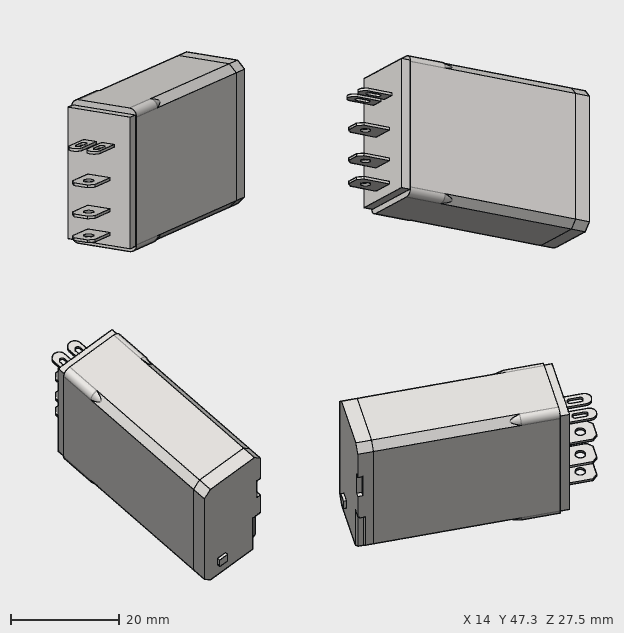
import cadquery as cq
import math

overall_length = 47.35
width = 14.0
height = 27.5
corner = 1.5

housing_length = 35.5
rib_length = 7.45
rib_taper_length = 1.95

cap_length = 3.0
cap_end = housing_length + cap_length
notch_depth = 1.4
notch_top = -4.75
notch_width = corner
notch_chamfer = 0.43
slot_depth = 1.0
slot_width = 0.9
slot_height = 5.0
slot_z = 3.55

button_side = 2.0
button_height = 0.55
button_x = 2.7
button_z = -9.75

base_width = 13.45
base_height = 25.2
base_thickness = 1.8

terminal_thickness = 0.5
blade_length = overall_length - cap_end - button_height - base_thickness
blade_width = 4.85
blade_tip_chamfer = 1.0
blade_hole_diameter = 1.9
blade_hole_from_tip = 2.8
blade_heights = (0.15, -5.82, -10.35)
coil_tab_setback = 0.2
coil_tab_length = blade_length - coil_tab_setback
coil_tab_width = 2.7
coil_tab_spacing = 3.9
coil_tab_z = 6.65
tab_hole_length = 3.05
tab_hole_width = 1.15
tab_hole_from_tip = 3.13


def block(size_x, size_z, start_y, end_y):
    """Box centred on the Y axis, reaching from start_y to end_y."""
    box = cq.Workplane("XY").box(size_x, end_y - start_y, size_z, centered=(True, False, True))
    return box.translate((0, start_y, 0))


def make_housing():
    rounded_end = block(width, height, 0, rib_length).edges("|Y").fillet(corner)
    bevelled = block(width, height, rib_length, housing_length).edges("|Y").chamfer(corner)
    body = rounded_end.union(bevelled)
    for side_x in (-1, 1):
        for side_z in (-1, 1):
            start = cq.Vector(side_x * (width / 2 - corner), rib_length, side_z * (height / 2 - corner))
            cone = cq.Solid.makeCone(
                corner, corner * math.sqrt(0.5), rib_taper_length, start, cq.Vector(0, 1, 0)
            )
            body = body.union(cq.Workplane(cone))
    return body


def make_notch():
    """Corner cutout at -X, -Z in the cap's end face, flaring at 45 degrees at its mouth."""
    bevel_start = cap_end - notch_chamfer
    size_x = 2 * notch_width
    size_z = 2 * (notch_top + height / 2)
    straight = cq.Workplane("XY").box(size_x, notch_depth, size_z, centered=(True, False, True))
    straight = straight.translate((0, cap_end - notch_depth, 0))
    flare = (
        cq.Workplane("XZ", origin=(0, bevel_start, 0))
        .rect(size_x, size_z)
        .workplane(offset=-notch_chamfer)
        .rect(size_x + 2 * notch_chamfer, size_z + 2 * notch_chamfer)
        .loft(ruled=True)
    )
    return straight.union(flare).translate((-width / 2, 0, -height / 2))


def make_cap():
    cap = block(width, height, housing_length, cap_end).edges("|Y").chamfer(corner)
    slot = block(2 * slot_width, slot_height, cap_end - slot_depth, cap_end)
    return cap.cut(slot.translate((-width / 2, 0, slot_z))).cut(make_notch())


def make_button():
    button = block(button_side, button_side, cap_end, cap_end + button_height)
    return button.translate((button_x, 0, button_z))


def make_base():
    return block(base_width, base_height, -base_thickness, 0)


def make_blade(z):
    """Flat terminal with a bevelled tip and a round hole."""
    tip = -base_thickness - blade_length
    blade = block(blade_width, terminal_thickness, tip, -base_thickness)
    blade = blade.edges("|Z and <Y").chamfer(blade_tip_chamfer)
    hole = (
        cq.Workplane("XY")
        .center(0, tip + blade_hole_from_tip)
        .circle(blade_hole_diameter / 2)
        .extrude(terminal_thickness, both=True)
    )
    return blade.cut(hole).translate((0, 0, z))


def make_coil_tab(x):
    """Narrow terminal with a fully rounded tip and an oblong hole."""
    tip = -base_thickness - coil_tab_length
    tip_radius = coil_tab_width / 2
    tab = (
        cq.Workplane("XY")
        .moveTo(-tip_radius, -base_thickness)
        .lineTo(-tip_radius, tip + tip_radius)
        .threePointArc((0, tip), (tip_radius, tip + tip_radius))
        .lineTo(tip_radius, -base_thickness)
        .close()
        .extrude(terminal_thickness / 2, both=True)
    )
    hole = (
        cq.Workplane("XY")
        .center(0, tip + tab_hole_from_tip)
        .slot2D(tab_hole_length, tab_hole_width, 90)
        .extrude(terminal_thickness, both=True)
    )
    return tab.cut(hole).translate((x, 0, coil_tab_z))


housing = make_housing()
cap = make_cap()
button = make_button()
base = make_base()
blades = [make_blade(z).val() for z in blade_heights]
coil_tabs = [make_coil_tab(side * coil_tab_spacing / 2).val() for side in (-1, 1)]

result = cq.Compound.makeCompound(
    [housing.val(), cap.val(), button.val(), base.val(), *blades, *coil_tabs]
)